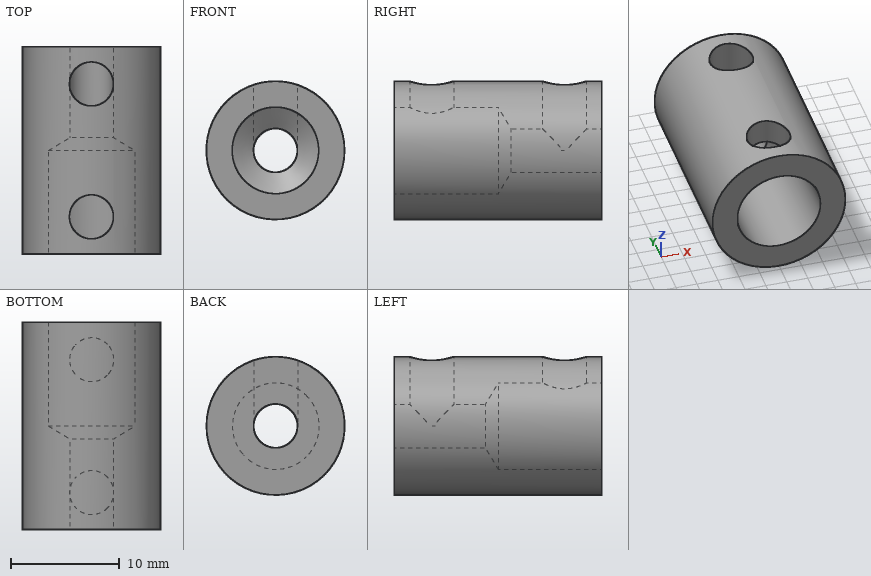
import cadquery as cq
import math

length = 19.05
outer_diameter = 12.7

large_bore_diameter = 7.95
large_bore_depth = 9.52
drill_point_angle = 118.0

small_bore_diameter = 4.0

screw_hole_diameter = 4.04
screw_hole_end_distance = 3.43

outer_radius = outer_diameter / 2
large_radius = large_bore_diameter / 2
small_radius = small_bore_diameter / 2
front_y = -length / 2
back_y = length / 2
cone_start_y = front_y + large_bore_depth
cone_length = (large_radius - small_radius) / math.tan(math.radians(drill_point_angle / 2))
cone_end_y = cone_start_y + cone_length


def make_sleeve():
    """Revolve the wall section, drawn as (radius, y), around the Y axis."""
    return (
        cq.Workplane("XY")
        .moveTo(large_radius, front_y)
        .lineTo(outer_radius, front_y)
        .lineTo(outer_radius, back_y)
        .lineTo(small_radius, back_y)
        .lineTo(small_radius, cone_end_y)
        .lineTo(large_radius, cone_start_y)
        .close()
        .revolve(360, (0, 0, 0), (0, 1, 0))
    )


def make_screw_holes():
    """Cut from the axis upward, so each hole passes through one wall."""
    hole_offset = length / 2 - screw_hole_end_distance
    return (
        cq.Workplane("XY")
        .pushPoints([(0, -hole_offset), (0, hole_offset)])
        .circle(screw_hole_diameter / 2)
        .extrude(outer_diameter)
    )


result = make_sleeve().cut(make_screw_holes())